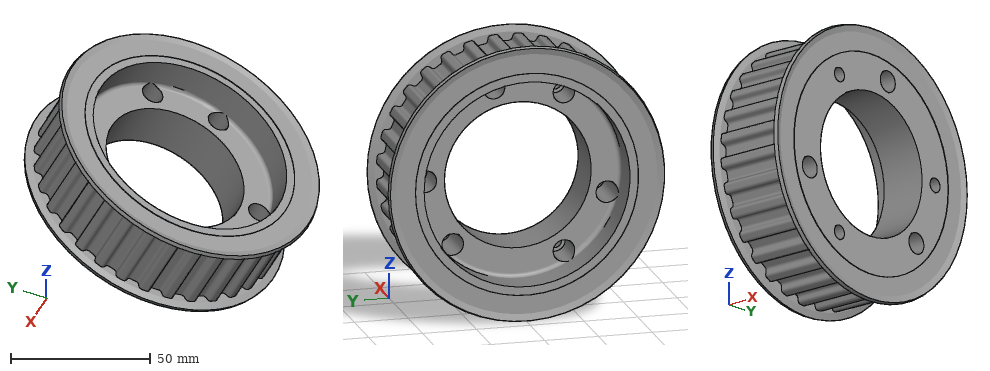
import math

import cadquery as cq

rim_radius = 51.4
overall_width = 32.2

tooth_count = 32
tooth_tip_radius = 48.2
groove_depth = 2.7
groove_floor_width = 3.9
flank_angle = 20.0
tooth_corner_radius = 1.2

flange_thickness = 1.5
flange_bend_radius = 48.5
flange_lean_angle = 18.0

hub_radius = 41.4
hub_lip = 0.2
bore_radius = 27.2
recess_radius = 38.2
recess_depth = 12.7
recess_fillet = 1.5

hole_circle_radius = 34.2
hole_count = 3
clearance_diameter = 8.0
screw_diameter = 5.3
screw_floor_thickness = 5.1
screw_start_angle = 0.0
clearance_start_angle = 75.0

lean = math.radians(flange_lean_angle)
rim_inner_radius = rim_radius - flange_thickness * math.sin(lean)
flange_flare = (rim_inner_radius - flange_bend_radius) * math.tan(lean)
disc_face = overall_width / 2 - flange_flare
track_half_width = disc_face - flange_thickness
hub_face = disc_face + hub_lip
recess_floor = -hub_face + recess_depth


def axial_disc(radius, start, end):
    """Solid cylinder along X between two X positions."""
    return cq.Workplane("YZ", origin=(start, 0, 0)).circle(radius).extrude(end - start)


def polar(radius, angle):
    """Point at a radius and an angle in radians from +Y toward +Z."""
    return radius * math.cos(angle), radius * math.sin(angle)


def make_groove():
    """One belt groove, cut inward from the +Y side of the track."""
    floor_radius = tooth_tip_radius - groove_depth
    floor_half = groove_floor_width / 2
    mouth_half = floor_half + groove_depth * math.tan(math.radians(flank_angle))
    mouth_angle = math.asin(mouth_half / tooth_tip_radius)
    tip_angle = math.pi / tooth_count
    land_angle = (mouth_angle + tip_angle) / 2
    clear_radius = tooth_tip_radius + groove_depth
    groove = (
        cq.Workplane("YZ", origin=(-track_half_width, 0, 0))
        .moveTo(floor_radius, -floor_half)
        .lineTo(floor_radius, floor_half)
        .lineTo(*polar(tooth_tip_radius, mouth_angle))
        .threePointArc(polar(tooth_tip_radius, land_angle), polar(tooth_tip_radius, tip_angle))
        .lineTo(*polar(clear_radius, tip_angle))
        .lineTo(*polar(clear_radius, -tip_angle))
        .lineTo(*polar(tooth_tip_radius, -tip_angle))
        .threePointArc(polar(tooth_tip_radius, -land_angle), polar(tooth_tip_radius, -mouth_angle))
        .close()
        .extrude(2 * track_half_width)
    )
    margin = 0.1
    corners = cq.selectors.BoxSelector(
        (-margin, floor_radius - margin, -mouth_half - margin),
        (margin, tooth_tip_radius + margin, mouth_half + margin),
    )
    return groove.edges("|X").edges(corners).fillet(tooth_corner_radius)


def make_track():
    """Toothed ring between the flanges."""
    track = axial_disc(tooth_tip_radius, -track_half_width, track_half_width)
    groove = make_groove()
    pitch_angle = 360 / tooth_count
    for i in range(tooth_count):
        track = track.cut(groove.rotate((0, 0, 0), (1, 0, 0), i * pitch_angle))
    return track


def make_flange():
    """Flange at the +X end: a flat disc whose edge leans outward."""
    rim_back = overall_width / 2 - flange_thickness * math.cos(lean)
    bend_back_radius = rim_radius - (rim_back - track_half_width) / math.tan(lean)
    section = [
        (track_half_width, 0),
        (track_half_width, bend_back_radius),
        (rim_back, rim_radius),
        (overall_width / 2, rim_inner_radius),
        (disc_face, flange_bend_radius),
        (disc_face, 0),
    ]
    return cq.Workplane("XY").polyline(section).close().revolve(360, (0, 0, 0), (1, 0, 0))


def make_recess():
    """Round pocket on the -X side with a filleted floor."""
    pocket = axial_disc(recess_radius, -overall_width / 2, recess_floor)
    return pocket.faces(">X").edges().fillet(recess_fillet)


def hole_ring(diameter, start_angle, start, end):
    """Equally spaced axial holes between two X positions."""
    return (
        cq.Workplane("YZ", origin=(start, 0, 0))
        .polarArray(hole_circle_radius, start_angle, 360, hole_count)
        .circle(diameter / 2)
        .extrude(end - start)
    )


flange = make_flange()
body = make_track().union(flange).union(flange.mirror("YZ"))
body = body.union(axial_disc(hub_radius, -hub_face, hub_face))
body = body.cut(make_recess())
body = body.cut(axial_disc(bore_radius, -hub_face, hub_face))

hole_start = recess_floor - recess_fillet
counterbore_floor = hub_face - screw_floor_thickness
body = body.cut(hole_ring(clearance_diameter, clearance_start_angle, hole_start, hub_face))
body = body.cut(hole_ring(clearance_diameter, screw_start_angle, hole_start, counterbore_floor))
body = body.cut(hole_ring(screw_diameter, screw_start_angle, hole_start, hub_face))

result = body